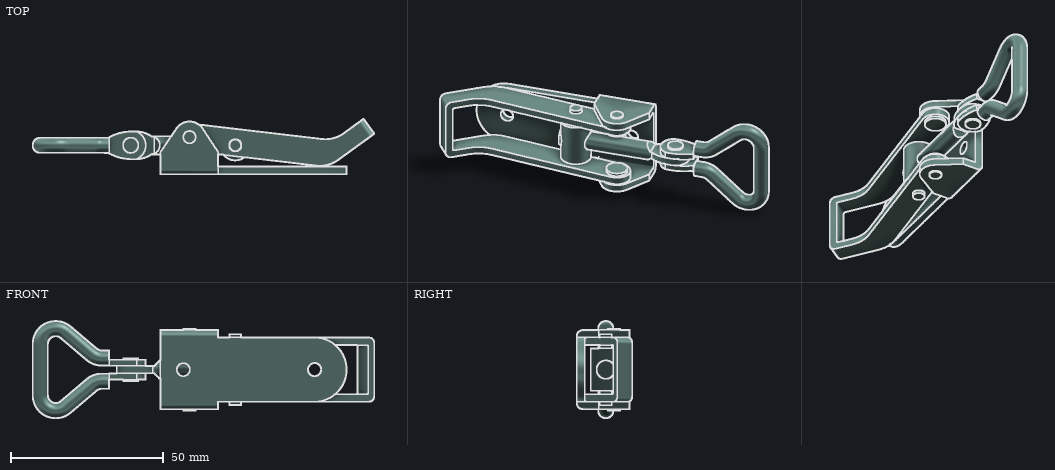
import cadquery as cq
import math


sheet = 2.5
bend_radius = 2.0
inner_bend_radius = 0.6
base_width = 26.0
lever_width = base_width - 2 * sheet
lever_gap = lever_width - 2 * sheet
overall_height = 18.3

pivot_x, pivot_y = 51.4, 2.7
arm_half_height = 4.5
arm_angle = -6.7
grip_angle = 36.0
grip_height = 6.0
tip_x, tip_y = 112.0, 3.8
knee_outer_radius = 10.1
knee_inner_radius = 10.1

plate_thickness = 2.7
base_front_x = 41.9
flange_length = 18.9
flange_back_x = base_front_x + flange_length
flange_shoulder_y = -2.2
flange_tip_radius = 5.2
plate_end_radius = lever_width / 2
plate_end_x = 92.4
mount_hole_diameter = 4.3
front_hole_x = 49.4
rivet_diameter = 4.0
rivet_head_diameter = 7.0
rivet_head_thickness = 1.0
rivet_projection = 0.5

barrel_x = 66.4
barrel_diameter = 10.0
barrel_length = 13.9
trunnion_diameter = 3.8
trunnion_hole_diameter = 4.0
trunnion_projection = 1.1

wire_diameter = 5.0
wire_bend_radius = 5.0
loop_half_straight = 8.4
wire_end_z = 3.8
wire_end_x = 25.1
wire_end_straight = 2.5
joint_x = 32.1
fork_end_radius = 4.9
blade_taper_x = 33.8
blade_end_x = 39.3
bevel_start_x = 39.9
fork_bulge_x = 32.5
fork_root_half_height = 2.7
eye_half_height = 4.6
blade_thickness = 2.5
fork_thickness = 2.0
joint_pin_diameter = 5.0
joint_pin_projection = 0.6
rod_diameter = 6.0

arm = math.radians(arm_angle)
grip = math.radians(grip_angle)
tip_top_y = tip_y + grip_height * math.cos(grip)
base_bottom_y = tip_top_y - overall_height


def disc(x, y, diameter, z_from, z_to):
    """Cylinder parallel to Z between two heights."""
    return cq.Workplane("XY", origin=(x, y, z_from)).circle(diameter / 2).extrude(z_to - z_from)


def centred_disc(x, y, diameter, length):
    """Cylinder parallel to Z, centred on Z = 0."""
    return disc(x, y, diameter, -length / 2, length / 2)


def nearest_edge(x, y, z):
    return cq.selectors.NearestToPointSelector((x, y, z))


def make_base():
    channel = (
        cq.Workplane("XY", origin=(0, 0, -base_width / 2))
        .moveTo(base_front_x, base_bottom_y)
        .lineTo(flange_back_x, base_bottom_y)
        .lineTo(flange_back_x, flange_shoulder_y)
    )
    run = flange_back_x - pivot_x
    drop = flange_shoulder_y - pivot_y
    tangent = math.atan2(drop, run) + math.acos(flange_tip_radius / math.hypot(run, drop))
    tangent_x = flange_tip_radius * math.cos(tangent)
    tangent_y = pivot_y + flange_tip_radius * math.sin(tangent)
    channel = (
        channel.lineTo(pivot_x + tangent_x, tangent_y)
        .threePointArc((pivot_x, pivot_y + flange_tip_radius), (pivot_x - tangent_x, tangent_y))
        .lineTo(base_front_x, flange_shoulder_y)
        .close()
        .extrude(base_width)
    )
    channel = channel.faces("<Y").edges("|X").fillet(bend_radius)
    inside_bottom_y = base_bottom_y + plate_thickness
    inside = (
        cq.Workplane("XY")
        .box(2 * flange_length, overall_height, lever_width, centered=(True, False, True))
        .edges("|X and <Y")
        .fillet(inner_bend_radius)
        .translate((pivot_x, inside_bottom_y, 0))
    )
    plate = (
        cq.Workplane("XZ", origin=(0, base_bottom_y, 0))
        .moveTo(pivot_x, plate_end_radius)
        .lineTo(plate_end_x, plate_end_radius)
        .threePointArc((plate_end_x + plate_end_radius, 0), (plate_end_x, -plate_end_radius))
        .lineTo(pivot_x, -plate_end_radius)
        .close()
        .extrude(-plate_thickness)
    )
    mount_holes = (
        cq.Workplane("XZ", origin=(0, base_bottom_y, 0))
        .pushPoints([(front_hole_x, 0), (plate_end_x, 0)])
        .circle(mount_hole_diameter / 2)
        .extrude(-plate_thickness)
    )
    base = channel.cut(inside).union(plate).cut(mount_holes)

    head_z = lever_gap / 2
    rivet = disc(pivot_x, pivot_y, rivet_diameter, head_z, base_width / 2 + rivet_projection).union(
        disc(pivot_x, pivot_y, rivet_head_diameter, head_z - rivet_head_thickness, head_z)
    )
    return base.union(rivet).union(rivet.mirror("XY"))


def knee_point(arm_offset, grip_x, grip_y):
    """Where an arm edge, offset from the pivot line, meets the grip edge through a point."""
    start_x = pivot_x - arm_offset * math.sin(arm)
    start_y = pivot_y + arm_offset * math.cos(arm)
    gap_x, gap_y = grip_x - start_x, grip_y - start_y
    along = (gap_x * math.sin(grip) - gap_y * math.cos(grip)) / math.sin(grip - arm)
    return start_x + along * math.cos(arm), start_y + along * math.sin(arm)


def make_lever():
    tip_top_x = tip_x - grip_height * math.sin(grip)
    lower_knee = knee_point(-arm_half_height, tip_x, tip_y)
    upper_knee = knee_point(arm_half_height, tip_top_x, tip_top_y)
    side_x = arm_half_height * math.sin(arm)
    side_y = arm_half_height * math.cos(arm)
    round_end = (pivot_x - side_y, pivot_y - side_x)
    lever = (
        cq.Workplane("XY", origin=(0, 0, -lever_width / 2))
        .moveTo(pivot_x + side_x, pivot_y - side_y)
        .lineTo(*lower_knee)
        .lineTo(tip_x, tip_y)
        .lineTo(tip_top_x, tip_top_y)
        .lineTo(*upper_knee)
        .lineTo(pivot_x - side_x, pivot_y + side_y)
        .threePointArc(round_end, (pivot_x + side_x, pivot_y - side_y))
        .close()
        .extrude(lever_width)
    )
    lever = lever.edges(nearest_edge(*lower_knee, 0)).fillet(knee_outer_radius)
    lever = lever.edges(nearest_edge(*upper_knee, 0)).fillet(knee_inner_radius)
    tip_middle = ((tip_x + tip_top_x) / 2, (tip_y + tip_top_y) / 2)
    for side in (-1, 1):
        lever = lever.edges(nearest_edge(*tip_middle, side * lever_width / 2)).fillet(bend_radius)

    between_legs = (
        cq.Workplane("XY")
        .box(tip_x, tip_x, lever_gap)
        .edges("|Y and >X")
        .fillet(inner_bend_radius)
        .translate((-tip_x / 2 - sheet, 0, 0))
        .rotate((0, 0, 0), (0, 0, 1), grip_angle)
        .translate((tip_x, tip_y, 0))
    )
    rivet_holes = centred_disc(pivot_x, pivot_y, rivet_diameter, lever_width)
    trunnion_holes = centred_disc(barrel_x, 0, trunnion_hole_diameter, lever_width)
    return lever.cut(between_legs).cut(rivet_holes).cut(trunnion_holes)


def make_barrel():
    barrel = centred_disc(barrel_x, 0, barrel_diameter, barrel_length)
    trunnions = centred_disc(barrel_x, 0, trunnion_diameter, lever_width + 2 * trunnion_projection)
    rod_hole = (
        cq.Workplane("YZ", origin=(barrel_x - barrel_diameter / 2, 0, 0))
        .circle(rod_diameter / 2)
        .extrude(barrel_diameter)
    )
    return barrel.union(trunnions).cut(rod_hole)


def make_fork_plate(z_from, z_to):
    """Bulging plate from the wire end to a round end about the joint pin."""
    bulge_end_x = 2 * fork_bulge_x - wire_end_x
    bulge = (
        cq.Workplane("XY", origin=(0, 0, z_from))
        .moveTo(wire_end_x, -fork_root_half_height)
        .threePointArc((fork_bulge_x, -eye_half_height), (bulge_end_x, -fork_root_half_height))
        .lineTo(bulge_end_x, fork_root_half_height)
        .threePointArc((fork_bulge_x, eye_half_height), (wire_end_x, fork_root_half_height))
        .close()
        .extrude(z_to - z_from)
    )
    fork_length = joint_x - wire_end_x
    round_end = (
        cq.Workplane("XY", origin=(joint_x - fork_length / 2, 0, z_from))
        .rect(fork_length, 2 * fork_end_radius)
        .extrude(z_to - z_from)
        .union(disc(joint_x, 0, 2 * fork_end_radius, z_from, z_to))
    )
    return bulge.intersect(round_end)


def make_bail():
    loop_x = wire_diameter / 2
    bend_x = loop_x + wire_bend_radius
    neck_x = wire_end_x - wire_end_straight
    neck_z = wire_end_z + wire_bend_radius
    centre_distance = math.hypot(neck_x - bend_x, neck_z - loop_half_straight)
    centre_angle = math.atan2(neck_z - loop_half_straight, neck_x - bend_x)
    leg_normal = centre_angle + math.acos(2 * wire_bend_radius / centre_distance)

    def bend_point(centre_x, centre_z, angle):
        return (
            centre_x + wire_bend_radius * math.cos(angle),
            centre_z + wire_bend_radius * math.sin(angle),
        )

    loop_leg = bend_point(bend_x, loop_half_straight, leg_normal)
    loop_middle = bend_point(bend_x, loop_half_straight, (leg_normal + math.pi) / 2)
    neck_leg_angle = leg_normal + math.pi
    neck_end_angle = math.radians(270)
    neck_leg = bend_point(neck_x, neck_z, neck_leg_angle)
    neck_middle = bend_point(neck_x, neck_z, (neck_leg_angle + neck_end_angle) / 2)

    def lower(point):
        return point[0], -point[1]

    path = (
        cq.Workplane("XZ")
        .moveTo(wire_end_x, wire_end_z)
        .lineTo(neck_x, wire_end_z)
        .threePointArc(neck_middle, neck_leg)
        .lineTo(*loop_leg)
        .threePointArc(loop_middle, (loop_x, loop_half_straight))
        .lineTo(loop_x, -loop_half_straight)
        .threePointArc(lower(loop_middle), lower(loop_leg))
        .lineTo(*lower(neck_leg))
        .threePointArc(lower(neck_middle), (neck_x, -wire_end_z))
        .lineTo(wire_end_x, -wire_end_z)
    )
    bail = (
        cq.Workplane("YZ", origin=(wire_end_x, 0, wire_end_z))
        .circle(wire_diameter / 2)
        .sweep(path)
    )
    fork_inner_z = blade_thickness / 2
    fork_outer_z = fork_inner_z + fork_thickness
    fork = make_fork_plate(fork_inner_z, fork_outer_z)
    joint_pin = centred_disc(joint_x, 0, joint_pin_diameter, 2 * (fork_outer_z + joint_pin_projection))
    return bail.union(fork).union(fork.mirror("XY")).union(joint_pin)


def make_rod():
    half_blade = blade_thickness / 2
    shank_radius = rod_diameter / 2
    rod_end_x = barrel_x + barrel_diameter / 2
    shank = (
        cq.Workplane("YZ", origin=(blade_end_x, 0, 0))
        .circle(shank_radius)
        .extrude(rod_end_x - blade_end_x)
    )
    bevel = shank_radius - half_blade
    profile = (
        cq.Workplane("XZ", origin=(0, shank_radius, 0))
        .moveTo(blade_end_x, half_blade)
        .lineTo(bevel_start_x, half_blade)
        .lineTo(bevel_start_x + bevel, shank_radius)
        .lineTo(rod_end_x, shank_radius)
        .lineTo(rod_end_x, -shank_radius)
        .lineTo(bevel_start_x + bevel, -shank_radius)
        .lineTo(bevel_start_x, -half_blade)
        .lineTo(blade_end_x, -half_blade)
        .close()
        .extrude(rod_diameter)
    )
    blade_end_half_height = math.sqrt(shank_radius**2 - half_blade**2)
    taper_length = blade_end_x - blade_taper_x
    taper_drop = eye_half_height - blade_end_half_height
    taper_radius = (taper_length**2 + taper_drop**2) / (2 * taper_drop)
    half_turn = math.asin(taper_length / taper_radius) / 2
    taper_middle_x = blade_taper_x + taper_radius * math.sin(half_turn)
    taper_middle_y = eye_half_height - taper_radius * (1 - math.cos(half_turn))
    blade = (
        cq.Workplane("XY", origin=(0, 0, -half_blade))
        .moveTo(joint_x, -eye_half_height)
        .lineTo(blade_taper_x, -eye_half_height)
        .threePointArc((taper_middle_x, -taper_middle_y), (blade_end_x, -blade_end_half_height))
        .lineTo(blade_end_x, blade_end_half_height)
        .threePointArc((taper_middle_x, taper_middle_y), (blade_taper_x, eye_half_height))
        .lineTo(joint_x, eye_half_height)
        .threePointArc((joint_x - eye_half_height, 0), (joint_x, -eye_half_height))
        .close()
        .extrude(blade_thickness)
    )
    joint_hole = centred_disc(joint_x, 0, joint_pin_diameter, blade_thickness)
    return shank.intersect(profile).union(blade).cut(joint_hole)


base = make_base()
lever = make_lever()
barrel = make_barrel()
bail = make_bail()
rod = make_rod()

bodies = (base, lever, barrel, bail, rod)

result = cq.Compound.makeCompound([body.solids().val() for body in bodies])